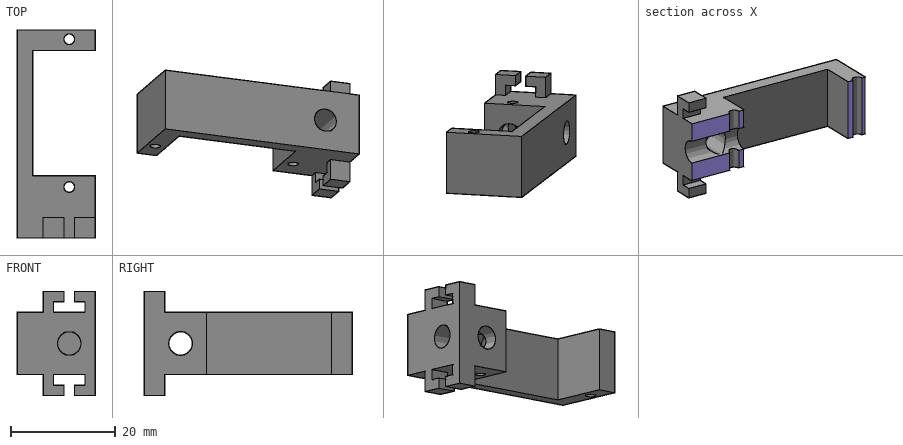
import cadquery as cq

length = 40.0
width = 15.0
body_height = 12.0
wall = 3.0
near_block = 12.0
far_arm = 4.0

rail_width = 10.0
rail_height = 4.0
rail_depth = 4.0
lip = 2.0
slot_mouth = 2.0

bore_diameter = 4.5
cross_bore_y = 7.0
pin_diameter = 2.0
near_pin_y = 9.8
far_pin_y = length - 1.8

hole_x = width - rail_width / 2


def box(x0, x1, y0, y1, z0, z1):
    """Box between two opposite corners."""
    return cq.Workplane("XY").box(x1 - x0, y1 - y0, z1 - z0, centered=False).translate((x0, y0, z0))


def frame():
    """Long wall joining the near block and the far arm."""
    half = body_height / 2
    solid = box(0, width, 0, length, -half, half)
    return solid.cut(box(wall, width, near_block, length - far_arm, -half, half))


def upper_rail():
    """Rail with a T-slot running along Y."""
    base = body_height / 2
    top = base + rail_height
    rail = box(width - rail_width, width, 0, rail_depth, base, top)
    cavity = box(width - rail_width + lip, width - lip, 0, rail_depth, base, top - lip)
    mouth = box(hole_x - slot_mouth / 2, hole_x + slot_mouth / 2, 0, rail_depth, top - lip, top)
    return rail.cut(cavity).cut(mouth)


def bore_along_y():
    """Bore from the near face through to the opening of the frame."""
    axis = cq.Workplane("XZ").center(hole_x, 0)
    return axis.circle(bore_diameter / 2).extrude(-near_block)


def bore_along_x():
    """Cross bore through the full width of the near block."""
    axis = cq.Workplane("YZ").center(cross_bore_y, 0)
    return axis.circle(bore_diameter / 2).extrude(width)


def pin_holes():
    """Vertical pin holes, one in the near block and one in the far arm."""
    points = [(hole_x, near_pin_y), (hole_x, far_pin_y)]
    return cq.Workplane("XY").pushPoints(points).circle(pin_diameter / 2).extrude(body_height / 2, both=True)


rail = upper_rail()
result = frame().union(rail).union(rail.mirror("XY"))
result = result.cut(bore_along_y()).cut(bore_along_x()).cut(pin_holes())